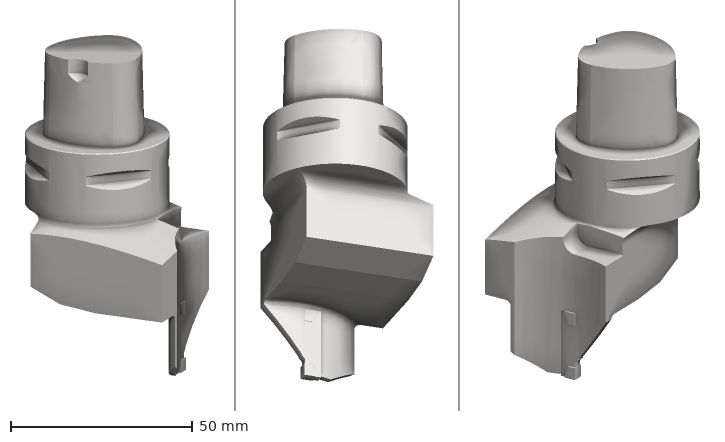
import cadquery as cq
import math


TOTAL_WIDTH = 52.2
TOTAL_DEPTH = 45.9
TOTAL_LENGTH = 89.0

SHANK_HEIGHT = 24.0
LOBE_REACH = 14.4
FLANK_REACH = 12.5
LOBE_RADIUS = 7.5
SHANK_TAPER = 1 / 40
KEY_RADIUS = 3.4
KEY_Y = -13.8
KEY_DEPTH = 4.0
KEY_TIP = 2.85

FLANGE_RADIUS = 40.0 / 2
FLANGE_HEIGHT = 20.0
FLANGE_CHAMFER = 0.3
GROOVE_Z = -8.0
GROOVE_FLOOR_RADIUS = 17.5
GROOVE_FLOOR_WIDTH = 2.5
GROOVE_FILLET = 0.3
GROOVE_SIDE_ANGLE = 30
GROOVE_COUNT = 4

ARM_LEFT = -8.0
ARM_RIGHT = TOTAL_WIDTH - FLANGE_RADIUS
ARM_FRONT = FLANGE_RADIUS - TOTAL_DEPTH
ARM_BACK = 11.4
ARM_BOTTOM = -43.4
BEVEL_LEFT_Z = -38.4
BEVEL_MIDDLE = (1.1, -42.3)
BEVEL_END_X = 11.9
COVE_RADIUS = 4.0
CONE_TOP_RADIUS = 20.9
CONE_TOP_Z = -21.4
CONE_SLOPE = 15
CONE_OUTER_RADIUS = 53.4
STEP_LEFT = 20.2
STEP_FRONT = -3.8
STEP_FLOOR = -27.6
STEP_FILLET = 4.0
STEP_SIDE_FILLET = 0.45

RELIEF_X = 53.7
RELIEF_Y = 0.45
RELIEF_RADIUS = 27.15

BLADE_LEFT = 24.1
BLADE_TAIL_Y = -17.6
BLADE_RADIUS = 26.7
BLADE_CENTER_Y = 1.6
BLADE_BOTTOM = -64.3
BLADE_ROOT_FILLET = 1.4
JAW_TOP_Z = -44.5
JAW_TIP_Z = -60.0
JAW_END = (1.1, -58.6)
TAIL_TOP_Z = -58.6
TAIL_END_Y = -8.2

INSERT_TOP = -45.0
INSERT_BOTTOM = SHANK_HEIGHT - TOTAL_LENGTH
INSERT_FRONT = -4.7
INSERT_BACK = 1.0
INSERT_TIP_BACK = 0.0
INSERT_RIGHT = 26.5
SHOULDER_START = 4.9
SHOULDER_END = 6.0
HEAD_LEFT = 23.9
HEAD_RIGHT = 27.1
TIP_OVERHANG = 0.2
HEAD_LENGTH = 3.6
HEAD_BACK_WIDTH = 2.05
HEAD_END_WIDTH = 3.3

REACH = 133.5


def polar(radius, degrees):
    angle = math.radians(degrees)
    return cq.Vector(radius * math.cos(angle), radius * math.sin(angle))


def lobed_wire(growth, z):
    """Six tangent arcs: the lobes and flanks, offset outward by growth."""
    lobe_distance = LOBE_REACH - LOBE_RADIUS
    flank_gap = FLANK_REACH - LOBE_RADIUS
    flank_offset = (lobe_distance**2 - flank_gap**2) / (2 * flank_gap - lobe_distance)
    flank_radius = FLANK_REACH + flank_offset + growth

    def tangent_point(lobe_angle, flank_angle):
        flank_center = polar(-flank_offset, flank_angle)
        direction = (polar(lobe_distance, lobe_angle) - flank_center).normalized()
        return flank_center + direction * flank_radius

    outline = cq.Workplane("XY", origin=(0, 0, z)).moveTo(*tangent_point(90, 30).toTuple()[:2])
    for lobe in (90, 210, 330):
        lobe_crest = polar(LOBE_REACH + growth, lobe)
        lobe_end = tangent_point(lobe, lobe + 60)
        flank_middle = polar(FLANK_REACH + growth, lobe + 60)
        flank_end = tangent_point(lobe + 120, lobe + 60)
        outline = outline.threePointArc(lobe_crest.toTuple()[:2], lobe_end.toTuple()[:2])
        outline = outline.threePointArc(flank_middle.toTuple()[:2], flank_end.toTuple()[:2])
    return outline.close().val()


def make_shank():
    base_wire = lobed_wire(SHANK_HEIGHT * SHANK_TAPER, 0)
    top_wire = lobed_wire(0, SHANK_HEIGHT)
    shank = cq.Workplane(cq.Solid.makeLoft([base_wire, top_wire], True))
    key_end = SHANK_HEIGHT - KEY_DEPTH
    keyway = (
        cq.Workplane("XZ", origin=(0, KEY_Y, 0))
        .moveTo(0, SHANK_HEIGHT)
        .lineTo(KEY_RADIUS, SHANK_HEIGHT)
        .lineTo(KEY_RADIUS, key_end)
        .lineTo(0, key_end - KEY_TIP)
        .close()
        .revolve(360, (0, 0), (0, 1))
    )
    return shank.cut(keyway)


def make_flange():
    flange = cq.Workplane("XY").circle(FLANGE_RADIUS).extrude(-FLANGE_HEIGHT)
    flange = flange.faces(">Z").chamfer(FLANGE_CHAMFER)
    depth = FLANGE_RADIUS - GROOVE_FLOOR_RADIUS
    floor_half = GROOVE_FLOOR_WIDTH / 2
    mouth_half = floor_half + depth * math.tan(math.radians(GROOVE_SIDE_ANGLE))
    groove = (
        cq.Workplane("XZ")
        .polyline([
            (GROOVE_FLOOR_RADIUS, GROOVE_Z - floor_half),
            (FLANGE_RADIUS, GROOVE_Z - mouth_half),
            (FLANGE_RADIUS, GROOVE_Z + mouth_half),
            (GROOVE_FLOOR_RADIUS, GROOVE_Z + floor_half),
        ])
        .close()
        .extrude(FLANGE_RADIUS, both=True)
        .faces("<X")
        .edges("|Y")
        .fillet(GROOVE_FILLET)
    )
    for index in range(GROOVE_COUNT):
        angle = (index + 0.5) * 360 / GROOVE_COUNT
        flange = flange.cut(groove.rotate((0, 0, 0), (0, 0, 1), angle))
    return flange


def relief_cylinder():
    return (
        cq.Workplane("XY", origin=(RELIEF_X, RELIEF_Y, -REACH))
        .circle(RELIEF_RADIUS)
        .extrude(2 * REACH)
    )


def front_right_limit():
    """The space behind the front face and left of the right face."""
    space = cq.Workplane("XY").box(REACH, REACH, 2 * REACH, centered=(False, False, True))
    return space.translate((ARM_RIGHT - REACH, ARM_FRONT, 0))


def cone_envelope():
    """The space under the flange and under the cone around it, with a cove between them."""
    cone_drop = (CONE_OUTER_RADIUS - CONE_TOP_RADIUS) * math.tan(math.radians(CONE_SLOPE))
    cove_width = CONE_TOP_RADIUS - FLANGE_RADIUS
    cove_reach = cove_width * (1 - math.sqrt(0.5))
    cove_middle = (FLANGE_RADIUS + cove_reach, CONE_TOP_Z + cove_reach)
    return (
        cq.Workplane("XZ")
        .moveTo(0, -FLANGE_HEIGHT)
        .lineTo(FLANGE_RADIUS, -FLANGE_HEIGHT)
        .lineTo(FLANGE_RADIUS, CONE_TOP_Z + cove_width)
        .threePointArc(cove_middle, (CONE_TOP_RADIUS, CONE_TOP_Z))
        .lineTo(CONE_OUTER_RADIUS, CONE_TOP_Z - cone_drop)
        .lineTo(CONE_OUTER_RADIUS, -REACH)
        .lineTo(0, -REACH)
        .close()
        .revolve(360, (0, 0), (0, 1))
    )


def make_step():
    """The cutter for the low floor at the back right of the arm."""
    step = cq.Workplane("XY").box(REACH, REACH, REACH, centered=False)
    step = step.translate((STEP_LEFT, STEP_FRONT, STEP_FLOOR))
    step = step.faces("<Y").edges("<Z").fillet(STEP_FILLET)
    return step.faces("<X").edges("<Z").fillet(STEP_SIDE_FILLET)


def make_arm():
    arm = (
        cq.Workplane("XZ", origin=(0, ARM_BACK, 0))
        .polyline([
            (ARM_LEFT, -FLANGE_HEIGHT),
            (ARM_LEFT, BEVEL_LEFT_Z),
            BEVEL_MIDDLE,
            (BEVEL_END_X, ARM_BOTTOM),
            (REACH, ARM_BOTTOM),
            (REACH, -FLANGE_HEIGHT),
        ])
        .close()
        .extrude(REACH)
    )
    plate = cq.Workplane("XY", origin=(0, 0, -FLANGE_HEIGHT)).rect(2 * REACH, 2 * REACH).extrude(0.9)
    arm = arm.union(plate)
    left_edge = cq.selectors.NearestToPointSelector((ARM_LEFT, ARM_BACK - REACH / 2, -FLANGE_HEIGHT))
    back_edge = cq.selectors.NearestToPointSelector(((ARM_LEFT + REACH) / 2, ARM_BACK, -FLANGE_HEIGHT))
    arm = arm.edges(left_edge + back_edge).fillet(COVE_RADIUS)
    return arm.intersect(cone_envelope()).cut(make_step())


def make_blade():
    """The curved blade, before its two ends are sloped."""
    height = ARM_BOTTOM - BLADE_BOTTOM
    outer = (
        cq.Workplane("XY", origin=(BLADE_LEFT + BLADE_RADIUS, BLADE_CENTER_Y, BLADE_BOTTOM))
        .circle(BLADE_RADIUS)
        .extrude(height)
    )
    limit = (
        cq.Workplane("XY", origin=(0, 0, BLADE_BOTTOM))
        .moveTo(0, ARM_FRONT)
        .lineTo(ARM_RIGHT, ARM_FRONT)
        .lineTo(ARM_RIGHT, ARM_BACK)
        .lineTo(0, ARM_BACK)
        .close()
        .extrude(height)
    )
    return outer.intersect(limit)


def blade_side_limit():
    """The space inside the side outline of the arm and the sloped blade ends."""
    return (
        cq.Workplane("YZ", origin=(-REACH, 0, 0))
        .polyline([
            (-REACH, REACH),
            (-REACH, ARM_BOTTOM),
            (BLADE_TAIL_Y - BLADE_ROOT_FILLET, ARM_BOTTOM),
            (BLADE_TAIL_Y - BLADE_ROOT_FILLET, TAIL_TOP_Z),
            (BLADE_TAIL_Y, TAIL_TOP_Z),
            (TAIL_END_Y, BLADE_BOTTOM),
            (INSERT_TIP_BACK, BLADE_BOTTOM),
            (INSERT_TIP_BACK, JAW_TIP_Z),
            JAW_END,
            (ARM_BACK, JAW_TOP_Z),
            (ARM_BACK, ARM_BOTTOM),
            (REACH, ARM_BOTTOM),
            (REACH, REACH),
        ])
        .close()
        .extrude(2 * REACH)
    )


def insert_body(left, right):
    """The double-ended insert outline, extruded from left to right."""
    return (
        cq.Workplane("YZ", origin=(left, 0, 0))
        .polyline([
            (INSERT_FRONT, INSERT_TOP),
            (INSERT_TIP_BACK, INSERT_TOP),
            (INSERT_TIP_BACK, INSERT_TOP - SHOULDER_START),
            (INSERT_BACK, INSERT_TOP - SHOULDER_END),
            (INSERT_BACK, INSERT_BOTTOM + SHOULDER_END),
            (INSERT_TIP_BACK, INSERT_BOTTOM + SHOULDER_START),
            (INSERT_TIP_BACK, INSERT_BOTTOM),
            (INSERT_FRONT, INSERT_BOTTOM),
        ])
        .close()
        .extrude(right - left)
    )


def cutting_head(end_z, inward, overhang):
    """A wide cutting head at one end; inward is the Z direction to the insert middle."""
    inner_z = end_z + inward * HEAD_LENGTH
    return (
        cq.Workplane("YZ", origin=(HEAD_LEFT, 0, 0))
        .polyline([
            (INSERT_TIP_BACK + overhang, end_z),
            (INSERT_TIP_BACK + overhang, inner_z),
            (INSERT_TIP_BACK - HEAD_BACK_WIDTH, inner_z),
            (INSERT_TIP_BACK - HEAD_END_WIDTH, end_z),
        ])
        .close()
        .extrude(HEAD_RIGHT - HEAD_LEFT)
    )


def make_insert():
    insert = insert_body(BLADE_LEFT, INSERT_RIGHT)
    insert = insert.union(cutting_head(INSERT_TOP, -1, 0))
    return insert.union(cutting_head(INSERT_BOTTOM, 1, TIP_OVERHANG))


def make_holder():
    lower = make_arm().union(make_blade())
    root_edges = cq.selectors.BoxSelector(
        (BLADE_LEFT - 0.9, ARM_FRONT + 0.9, ARM_BOTTOM - 0.9),
        (ARM_RIGHT - 0.9, ARM_BACK - 0.9, ARM_BOTTOM + 0.9),
    )
    lower = lower.intersect(front_right_limit())
    lower = lower.edges(root_edges).fillet(BLADE_ROOT_FILLET)
    lower = lower.cut(relief_cylinder()).intersect(blade_side_limit())
    holder = make_flange().union(make_shank()).union(lower)
    return holder.cut(insert_body(0, REACH))


holder = make_holder()
insert = make_insert()
result = cq.Compound.makeCompound([holder.val(), insert.val()])